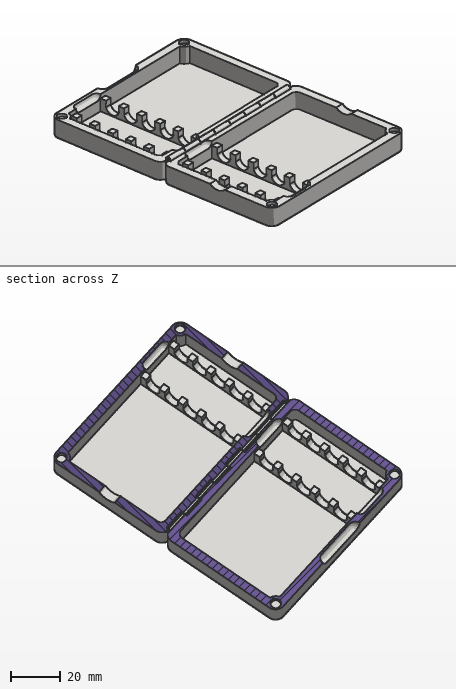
import cadquery as cq
import math


tray_length = 58.5
tray_width = 84.0
tray_height = 9.0
wall = 4.0
floor_thickness = 1.0
outer_corner_radius = 4.0
inner_corner_radius = 2.5
bottom_edge_radius = 1.0
cavity_length = tray_length - 2 * wall
cavity_width = tray_width - 2 * wall
tray_middle_x = tray_length / 2

magnet_diameter = 4.2
magnet_depth = 1.5
magnet_inset = 3.3
magnet_boss_radius = 3.6

tool_count = 5
tool_pitch = 9.5
saddle_width = 6.7
saddle_arc_radius = 3.5
saddle_bottom_z = 1.5
rib_thickness = 3.0
rib_top_z = 7.0
rib_gap = 15.4
rack_middle_y = -22.75

finger_hollow_radius = 2.5
finger_hollow_length = 15.5

scoop_radius = 3.0
scoop_length = 24.0

notch_radius = 6.0
notch_depth = 1.5

knuckle_count = 8
knuckle_radius = 1.25
knuckle_pitch = cavity_width / knuckle_count
knuckle_gap = 0.2
knuckle_clearance = 0.2
pin_hole_diameter = 1.0
opening_angle = 0.4


def y_cylinder(radius, x, z, y_start, length):
    return cq.Workplane(
        cq.Solid.makeCylinder(radius, length, cq.Vector(x, y_start, z), cq.Vector(0, 1, 0))
    )


def y_capsule(radius, length, x, y_middle, z):
    """Round-ended cylinder along Y."""
    straight = length - 2 * radius
    capsule = y_cylinder(radius, x, z, y_middle - straight / 2, straight)
    for y_end in (y_middle - straight / 2, y_middle + straight / 2):
        capsule = capsule.union(cq.Workplane().sphere(radius).translate((x, y_end, z)))
    return capsule


def box_at(length, width, x_middle, y_middle, z_bottom, z_top):
    return (
        cq.Workplane()
        .box(length, width, z_top - z_bottom, centered=(True, True, False))
        .translate((x_middle, y_middle, z_bottom))
    )


def magnet_cylinders(radius, z_bottom):
    return (
        cq.Workplane(origin=(0, 0, z_bottom))
        .pushPoints([
            (tray_length - magnet_inset, side * (tray_width / 2 - magnet_inset))
            for side in (-1, 1)
        ])
        .circle(radius)
        .extrude(tray_height - z_bottom)
    )


def shell():
    """Open tray with its hinge side on x = 0 and its body on the +X side."""
    body = box_at(tray_length, tray_width, tray_middle_x, 0, 0, tray_height)
    body = body.edges("|Z").fillet(outer_corner_radius)
    body = body.faces("<Z").edges().fillet(bottom_edge_radius)
    cavity = box_at(cavity_length, cavity_width, tray_middle_x, 0, floor_thickness, tray_height)
    cavity = cavity.edges("|Z and <X").fillet(inner_corner_radius)
    cavity = cavity.cut(magnet_cylinders(magnet_boss_radius, floor_thickness))
    return body.cut(cavity).cut(magnet_cylinders(magnet_diameter / 2, tray_height - magnet_depth))


def saddle_rib(y_middle):
    """Rib across the cavity with straight-sided slots that end in shallow round saddles."""
    rib = box_at(cavity_length, rib_thickness, tray_middle_x, y_middle, floor_thickness, rib_top_z)
    arc_height = saddle_arc_radius - math.sqrt(saddle_arc_radius**2 - (saddle_width / 2) ** 2)
    arc_end_z = saddle_bottom_z + arc_height
    saddle = (
        cq.Workplane("XZ", origin=(0, y_middle, 0))
        .moveTo(-saddle_width / 2, rib_top_z)
        .lineTo(-saddle_width / 2, arc_end_z)
        .threePointArc((0, saddle_bottom_z), (saddle_width / 2, arc_end_z))
        .lineTo(saddle_width / 2, rib_top_z)
        .close()
        .extrude(rib_thickness / 2, both=True)
    )
    for index in range(tool_count):
        x = tray_middle_x + (index - (tool_count - 1) / 2) * tool_pitch
        rib = rib.cut(saddle.translate((x, 0, 0)))
    return rib


def knuckle_cylinders(radius, indices, end_allowance):
    """Hinge cylinders at the given places, each end moved outward by end_allowance."""
    cylinders = cq.Workplane()
    for index in indices:
        y_start = cavity_width / 2 - (index + 1) * knuckle_pitch - end_allowance
        cylinders = cylinders.add(
            y_cylinder(radius, 0, tray_height, y_start, knuckle_pitch + 2 * end_allowance)
        )
    return cylinders.combine()


def tray(own_knuckles, other_knuckles):
    """Tray with its rack and its share of the hinge."""
    body = shell()
    for side in (-1, 1):
        body = body.union(saddle_rib(rack_middle_y + side * (rib_gap + rib_thickness) / 2))
    for x in (wall, tray_length - wall):
        hollow = y_capsule(finger_hollow_radius, finger_hollow_length, x, rack_middle_y, tray_height)
        body = body.cut(hollow)
    body = body.cut(knuckle_cylinders(knuckle_radius + knuckle_clearance, other_knuckles, knuckle_gap / 2))
    body = body.union(knuckle_cylinders(knuckle_radius, own_knuckles, -knuckle_gap / 2))
    pin_hole = y_cylinder(pin_hole_diameter / 2, 0, tray_height, -tray_width / 2, tray_width)
    return body.cut(pin_hole)


left_knuckles = (0, 2, 4, 6, 7)
right_knuckles = (1, 3, 5)

left_tray = tray(left_knuckles, right_knuckles).mirror("YZ")
left_tray = left_tray.cut(y_capsule(scoop_radius, scoop_length, -tray_length, 0, tray_height))
left_tray = left_tray.rotate((0, 0, tray_height), (0, 1, tray_height), opening_angle)

right_tray = tray(right_knuckles, left_knuckles)
notch_axis_z = tray_height - notch_depth + notch_radius
right_tray = right_tray.cut(
    y_cylinder(notch_radius, tray_middle_x, notch_axis_z, -tray_width / 2, tray_width)
)

result = cq.Compound.makeCompound([*left_tray.solids().vals(), *right_tray.solids().vals()])